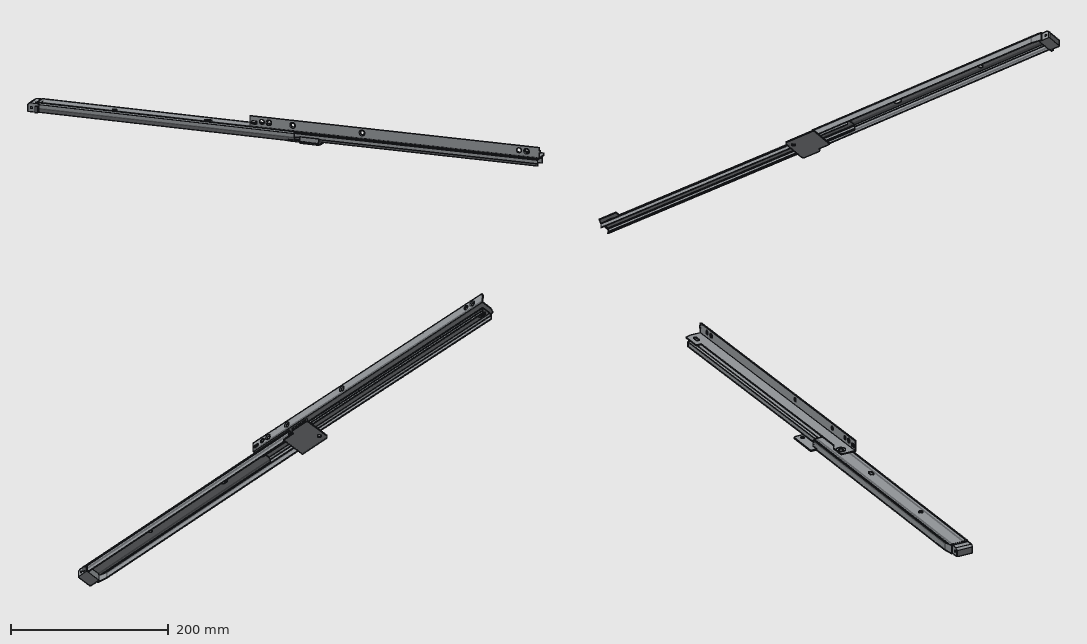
import cadquery as cq
import math

LENGTH = 703.5
WIDTH = 39.5
HEIGHT = 28.0
SHEET = 1.05

RAIL_START = 11.0
RAIL_END = 366.5
RAIL_FRONT = 4.6
RAIL_BACK = 31.3
RAIL_TOP = 12.3
BEAD_TOP = 13.5
NOSE_LENGTH = 14.0
NOSE_DEPTH = 2.0
RAIL_HOLE_Y = 15.5
RAIL_HOLE_X = 115.0
RAIL_HOLE_DIAMETER = 5.5
RAIL_SLOT_X = 244.0
RAIL_SLOT_SIZE = (10.0, 5.0)

CAP_BACK = 27.5
CAP_HEIGHT = 11.6
CAP_LENGTH = 15.5
CAP_SLOPE_LENGTH = 3.0
CAP_SLOPE_HEIGHT = 3.0
CAP_CORNER = 1.05
CAP_HOLE_X = 5.5
CAP_HOLE_Z = 5.5
CAP_HOLE_DIAMETER = 3.0
NUB_X = 13.5
NUB_FRONT = 1.75
NUB_LENGTH = 3.0
NUB_HEIGHT = 8.5

PLATE_THICKNESS = 1.75
PLATE_END = 403.0
BACK_TAB_START = 358.0
FRONT_TAB_START = 375.0
TAB_CHAMFER = 2.0
LIP_FRONT = 2.0
LIP_BACK = 3.5
LIP_TOP = 8.0
TAB_HOLE_X = 396.0
TAB_HOLE_Y = 30.0
TAB_HOLE_DIAMETER = 5.0

SWING = 0.5
DRAWER_START = 307.0
DRAWER_FRONT = 2.0
DRAWER_END = 702.0
FLANGE_THICKNESS = 1.75
BEND_RADIUS = 1.7
WEB_BOTTOM = 13.5
WEB_TOP = 15.0
WEB_BACK = 19.0
HEAD_BACK = 24.0
HEAD_END = 326.5
HEAD_TAPER_END = 334.0
HEAD_HOLE_X = 318.5
HEAD_HOLE_Y = 17.5
HEAD_HOLE_DIAMETER = 6.0
HEAD_SEAT_DIAMETER = 12.0
TAIL_START = 673.0
TAIL_END = 699.0
TAIL_BACK = 26.0
TAIL_SLOT_X = 688.5
TAIL_SLOT_Y = 17.0
TAIL_SLOT_SIZE = (11.0, 4.0)
TIP_Z = 22.5
TIP_HEIGHT = 3.5

SCREW_HOLE_Z = 22.0
SCREW_HOLE_DIAMETER = 5.0
COUNTERSINK_DIAMETER = 8.0
SCREW_HOLES_X = [333.0, 365.0, 460.0, 685.0]
PIN_HOLE_DIAMETER = 6.0
PIN_HOLES_X = [323.0, 674.5]
FLANGE_SLOT_X = 312.0
FLANGE_SLOT_Z = 20.0
FLANGE_SLOT_SIZE = (8.0, 4.0)

MIDDLE_BOTTOM = PLATE_THICKNESS
MIDDLE_TOP = 10.9
MIDDLE_START = 316.5
MIDDLE_END = 698.0


def box(x0, x1, y0, y1, z0, z1):
    """Box between two corners."""
    return cq.Workplane("XY").box(x1 - x0, y1 - y0, z1 - z0, centered=False).translate((x0, y0, z0))


def bar(section, start, end):
    """Solid bar along X from its (Y, Z) section."""
    return cq.Workplane("YZ", origin=(start, 0, 0)).polyline(section).close().extrude(end - start)


def hollow(solid, open_faces):
    """Sheet channel inside a solid bar, without the chosen faces."""
    return solid.faces(open_faces).shell(-SHEET)


def vertical_cutter(x, y):
    """Workplane below the slide at (x, y), ready for an upward cutter sketch."""
    return cq.Workplane("XY", origin=(x, y, 0))


def cross_cutter(x, z):
    """Workplane across the slide at (x, z), its cutters running toward +Y."""
    return cq.Workplane("XZ", origin=(x, 0, z))


def swing(body):
    """Turn a body about the vertical line through the drawer rail's front corner."""
    pivot = (DRAWER_START, DRAWER_FRONT, 0)
    return body.rotate(pivot, (DRAWER_START, DRAWER_FRONT, 1), SWING)


def make_end_cap():
    cap = box(0, CAP_LENGTH, RAIL_FRONT, CAP_BACK, 0, CAP_HEIGHT)
    cap = cap.edges("<X and >Z").chamfer(CAP_SLOPE_HEIGHT, CAP_SLOPE_LENGTH)
    cap = cap.edges("|Z and <X").chamfer(CAP_CORNER)
    nub = box(NUB_X - NUB_LENGTH / 2, NUB_X + NUB_LENGTH / 2, NUB_FRONT, RAIL_FRONT, 0, NUB_HEIGHT)
    hole = cross_cutter(CAP_HOLE_X, CAP_HOLE_Z).circle(CAP_HOLE_DIAMETER / 2).extrude(-WIDTH)
    return cap.cut(hole).union(nub)


def make_mounting_plate():
    middle_y = (RAIL_FRONT + RAIL_BACK) / 2
    back_tab = box(BACK_TAB_START, PLATE_END, middle_y, WIDTH, 0, PLATE_THICKNESS)
    back_tab = back_tab.edges("|Z and >X and >Y").chamfer(TAB_CHAMFER)
    front_tab = box(FRONT_TAB_START, PLATE_END, 0, middle_y, 0, PLATE_THICKNESS)
    front_tab = front_tab.edges("|Z and <Y").chamfer(TAB_CHAMFER)
    lip = box(FRONT_TAB_START, PLATE_END - TAB_CHAMFER, LIP_FRONT, LIP_BACK, 0, LIP_TOP)
    bridge = box(BACK_TAB_START, FRONT_TAB_START, RAIL_FRONT, middle_y, 0, PLATE_THICKNESS)
    hole = vertical_cutter(TAB_HOLE_X, TAB_HOLE_Y).circle(TAB_HOLE_DIAMETER / 2).extrude(HEIGHT)
    return back_tab.union(front_tab).union(bridge).union(lip).cut(hole)


def make_cabinet_rail():
    section = [
        (6.0, 0),
        (RAIL_FRONT, 5.3),
        (RAIL_FRONT, 10.5),
        (5.5, BEAD_TOP),
        (6.7, BEAD_TOP),
        (10.5, RAIL_TOP),
        (27.0, RAIL_TOP),
        (29.5, 11.6),
        (31.0, 10.5),
        (RAIL_BACK, 9.0),
        (RAIL_BACK, 0),
    ]
    nose = (
        cq.Workplane("XY")
        .moveTo(RAIL_START, RAIL_BACK - NOSE_DEPTH)
        .lineTo(RAIL_START + NOSE_LENGTH, RAIL_BACK)
        .lineTo(RAIL_START, RAIL_BACK)
        .close()
        .extrude(HEIGHT)
    )
    hole = vertical_cutter(RAIL_HOLE_X, RAIL_HOLE_Y).circle(RAIL_HOLE_DIAMETER / 2).extrude(HEIGHT)
    slot = vertical_cutter(RAIL_SLOT_X, RAIL_HOLE_Y).slot2D(*RAIL_SLOT_SIZE).extrude(HEIGHT)
    rail = bar(section, RAIL_START, RAIL_END).cut(nose)
    rail = hollow(rail, ">X or <Z").cut(hole).cut(slot)
    return rail.union(make_end_cap()).union(make_mounting_plate())


def tail_slot():
    """Cutter of the hook slot through the drawer rail and the middle rail."""
    return vertical_cutter(TAIL_SLOT_X, TAIL_SLOT_Y).slot2D(*TAIL_SLOT_SIZE).extrude(HEIGHT)


def make_middle_rail():
    section = [
        (8.5, MIDDLE_BOTTOM),
        (7.4, 5.0),
        (7.4, 10.0),
        (8.5, MIDDLE_TOP),
        (22.0, MIDDLE_TOP),
        (24.5, 8.5),
        (24.5, MIDDLE_BOTTOM),
    ]
    rail = hollow(bar(section, MIDDLE_START, MIDDLE_END), "<X or >X or <Z")
    return swing(rail.cut(tail_slot()))


def make_drawer_web():
    outline = [
        (DRAWER_START, DRAWER_FRONT),
        (DRAWER_END, DRAWER_FRONT),
        (DRAWER_END, WEB_BACK),
        (TAIL_END, TAIL_BACK),
        (TAIL_START, TAIL_BACK),
        (TAIL_START, WEB_BACK),
        (HEAD_TAPER_END, WEB_BACK),
        (HEAD_END, HEAD_BACK),
        (DRAWER_START, HEAD_BACK),
    ]
    web = cq.Workplane("XY", origin=(0, 0, WEB_BOTTOM)).polyline(outline).close()
    web = web.extrude(WEB_TOP - WEB_BOTTOM)
    hole = vertical_cutter(HEAD_HOLE_X, HEAD_HOLE_Y).circle(HEAD_HOLE_DIAMETER / 2).extrude(HEIGHT)
    seat_floor = (WEB_BOTTOM + WEB_TOP) / 2
    seat = cq.Workplane("XY", origin=(HEAD_HOLE_X, HEAD_HOLE_Y, seat_floor))
    seat = seat.circle(HEAD_SEAT_DIAMETER / 2).extrude(HEIGHT)
    return web.cut(hole).cut(seat).cut(tail_slot())


def screw_hole(x):
    """Cutter of a flange hole countersunk from the front."""
    hole = cross_cutter(x, SCREW_HOLE_Z).circle(SCREW_HOLE_DIAMETER / 2).extrude(-WIDTH)
    depth = (COUNTERSINK_DIAMETER - SCREW_HOLE_DIAMETER) / 2
    cone = cq.Solid.makeCone(
        COUNTERSINK_DIAMETER / 2,
        SCREW_HOLE_DIAMETER / 2,
        depth,
        cq.Vector(x, DRAWER_FRONT, SCREW_HOLE_Z),
        cq.Vector(0, 1, 0),
    )
    return hole.union(cq.Workplane(cone))


def make_drawer_flange():
    back = DRAWER_FRONT + FLANGE_THICKNESS
    flange = box(DRAWER_START, DRAWER_END, DRAWER_FRONT, back, WEB_BOTTOM, HEIGHT)
    tip_end = DRAWER_START + (LENGTH - DRAWER_START) / math.cos(math.radians(SWING))
    tip = box(
        DRAWER_END, tip_end, DRAWER_FRONT, back, TIP_Z - TIP_HEIGHT / 2, TIP_Z + TIP_HEIGHT / 2
    )
    flange = flange.union(tip)
    for x in SCREW_HOLES_X:
        flange = flange.cut(screw_hole(x))
    for x in PIN_HOLES_X:
        flange = flange.cut(
            cross_cutter(x, SCREW_HOLE_Z).circle(PIN_HOLE_DIAMETER / 2).extrude(-WIDTH)
        )
    slot = cross_cutter(FLANGE_SLOT_X, FLANGE_SLOT_Z).slot2D(*FLANGE_SLOT_SIZE).extrude(-WIDTH)
    return flange.cut(slot)


def make_drawer_rail():
    rail = make_drawer_flange().union(make_drawer_web())
    rail = rail.edges("|X and <Y and <Z").fillet(BEND_RADIUS)
    return swing(rail)


cabinet_rail = make_cabinet_rail()
middle_rail = make_middle_rail()
drawer_rail = make_drawer_rail()

result = cq.Compound.makeCompound(
    [body.solids().val() for body in (cabinet_rail, middle_rail, drawer_rail)]
)